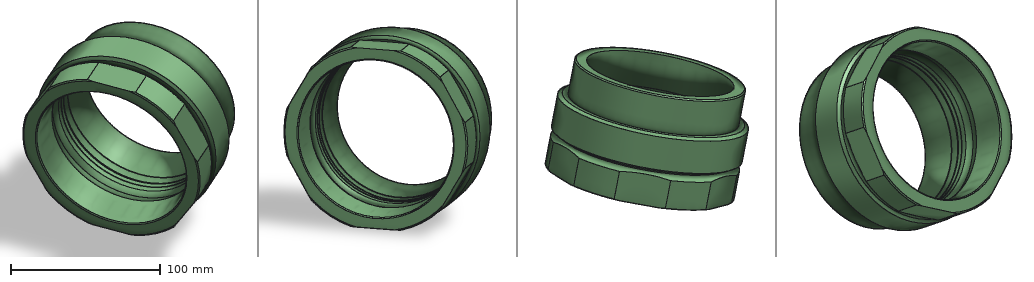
import cadquery as cq
import math

TOTAL_LENGTH = 76.0
HEX_SHOULDER = 23.2
COLLAR_FRONT = 25.0
COLLAR_REAR = 50.8
JOINT = 45.0

ACROSS_FLATS = 124.3
HEX_TURN = 30
HEX_TURNED_D = 129.1
HEX_FACE_D = 127.0
NECK_D = 118.2
CHAMFER_SLOPE = math.tan(math.radians(30))

MOUTH_D = 110.4
MOUTH_DEPTH = 0.8
TAPER_FRONT_D = 108.8
TAPER_REAR_D = 107.2
TAPER_END = 24.9
RELIEF_D = 112.0
RELIEF_CONE_START = 31.8
RELIEF_CONE_END = 36.2
SEAT_D = 107.1
LIP_START = 40.4
LIP_D = 106.3
LIP_CHAMFER_START = 43.7
LIP_CHAMFER_D = 107.6

COLLAR_D = 130.3
COLLAR_FRONT_FACE_D = 125.3
COLLAR_REAR_FACE_D = 124.6

TAIL_D = 116.6
TAIL_SOCKET_D = 106.8
TAIL_SOCKET_END = 51.2
TAIL_BORE_FRONT_D = 106.0
TAIL_BORE_REAR_D = 100.6
TAIL_CHAMFER = 0.9


def revolve_profile(points):
    """Turn (diameter, y) points about the Y axis into one ring."""
    outline = [(diameter / 2, y) for diameter, y in points]
    return cq.Workplane("XY").polyline(outline).close().revolve(360, (0, 0, 0), (0, 1, 0))


def make_hex_body():
    """Hexagonal body with a round neck and a stepped, tapered passage."""
    turned = revolve_profile([
        (MOUTH_D, 0),
        (HEX_FACE_D, 0),
        (HEX_TURNED_D, (HEX_TURNED_D - HEX_FACE_D) / 2 * CHAMFER_SLOPE),
        (HEX_TURNED_D, HEX_SHOULDER - (HEX_TURNED_D - NECK_D) / 2 * CHAMFER_SLOPE),
        (NECK_D, HEX_SHOULDER),
        (NECK_D, JOINT),
        (LIP_CHAMFER_D, JOINT),
        (LIP_D, LIP_CHAMFER_START),
        (LIP_D, LIP_START),
        (SEAT_D, LIP_START),
        (SEAT_D, RELIEF_CONE_END),
        (RELIEF_D, RELIEF_CONE_START),
        (RELIEF_D, TAPER_END),
        (TAPER_REAR_D, TAPER_END),
        (TAPER_FRONT_D, MOUTH_DEPTH),
    ])
    hexagon = (
        cq.Workplane("XZ")
        .polygon(6, ACROSS_FLATS, circumscribed=True)
        .extrude(-JOINT)
        .rotate((0, 0, 0), (0, 1, 0), HEX_TURN)
    )
    return turned.intersect(hexagon)


def make_collar():
    """Outer ring around the neck and the front of the tailpiece."""
    front_cone = (COLLAR_D - COLLAR_FRONT_FACE_D) / 2 * CHAMFER_SLOPE
    rear_cone = (COLLAR_D - COLLAR_REAR_FACE_D) / 2 * CHAMFER_SLOPE
    return revolve_profile([
        (NECK_D, COLLAR_FRONT),
        (COLLAR_FRONT_FACE_D, COLLAR_FRONT),
        (COLLAR_D, COLLAR_FRONT + front_cone),
        (COLLAR_D, COLLAR_REAR - rear_cone),
        (COLLAR_REAR_FACE_D, COLLAR_REAR),
        (TAIL_D, COLLAR_REAR),
        (TAIL_D, JOINT),
        (NECK_D, JOINT),
    ])


def make_tailpiece():
    """Rear tube with a straight socket and a bore that narrows to the rear."""
    return revolve_profile([
        (TAIL_SOCKET_D, JOINT),
        (TAIL_D, JOINT),
        (TAIL_D, TOTAL_LENGTH - TAIL_CHAMFER),
        (TAIL_D - 2 * TAIL_CHAMFER, TOTAL_LENGTH),
        (TAIL_BORE_REAR_D, TOTAL_LENGTH),
        (TAIL_BORE_FRONT_D, TAIL_SOCKET_END),
        (TAIL_SOCKET_D, TAIL_SOCKET_END),
    ])


hex_body = make_hex_body()
collar = make_collar()
tailpiece = make_tailpiece()

result = cq.Compound.makeCompound([hex_body.val(), collar.val(), tailpiece.val()])